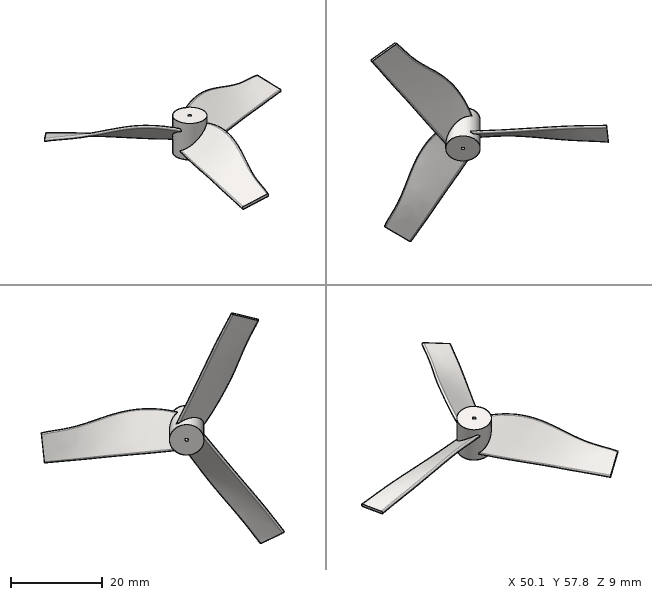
import cadquery as cq
import math

HUB_DIAMETER = 7.5
HUB_HEIGHT = 9.0
SHAFT_DIAMETER = 0.7

BLADE_COUNT = 3
BLADE_THICKNESS = 0.7
EDGE_RADIUS = BLADE_THICKNESS / 2

BLADE_STATIONS = [
    (1.15, -3.3, 1.45, 3.25, 7.1),
    (5.2, -3.3, 1.45, 4.05, 8.1),
    (9.25, -3.3, 1.45, 4.4, 8.45),
    (13.9, -3.3, 1.55, 4.4, 7.9),
    (19.65, -3.35, 1.7, 3.9, 6.3),
    (25.45, -3.35, 1.7, 3.35, 4.85),
    (31.5, -3.25, 1.55, 3.25, 3.95),
]


def blade_section(distance, lead_y, low_z, trail_y, high_z):
    """Flat, round-ended slot filling the given limits in a plane normal to X."""
    span_y = trail_y - lead_y - 2 * EDGE_RADIUS
    span_z = high_z - low_z - 2 * EDGE_RADIUS
    length = math.hypot(span_y, span_z) + 2 * EDGE_RADIUS
    pitch = math.degrees(math.atan2(span_z, span_y))
    center = (distance, (lead_y + trail_y) / 2, (low_z + high_z) / 2)
    plane = cq.Plane(origin=center, xDir=(0, 1, 0), normal=(1, 0, 0))
    return cq.Workplane(plane).slot2D(length, BLADE_THICKNESS, pitch).wires().val()


def make_blade():
    """Twisted blade lofted smoothly from inside the hub to its flat tip."""
    sections = [blade_section(*station) for station in BLADE_STATIONS]
    return cq.Workplane(cq.Solid.makeLoft(sections))


def make_propeller():
    propeller = cq.Workplane("XY").circle(HUB_DIAMETER / 2).extrude(HUB_HEIGHT)
    blade = make_blade()
    for index in range(BLADE_COUNT):
        turn = index * 360 / BLADE_COUNT
        propeller = propeller.union(blade.rotate((0, 0, 0), (0, 0, 1), turn))
    shaft_hole = cq.Workplane("XY").circle(SHAFT_DIAMETER / 2).extrude(HUB_HEIGHT)
    return propeller.cut(shaft_hole)


result = make_propeller()